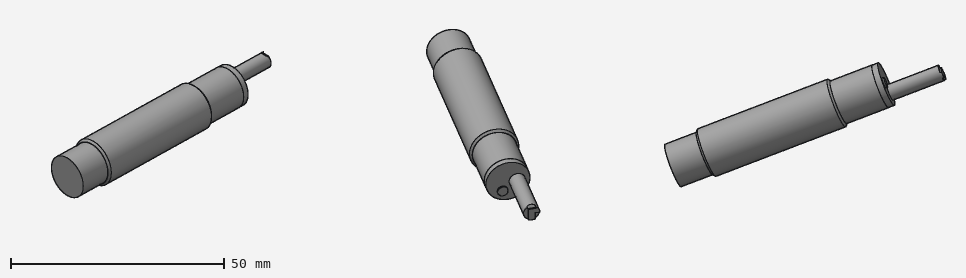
import cadquery as cq

length = 67.5
front_y = -length / 2
cable_end_y = length / 2

sleeve_diameter = 12.0
nose_diameter = 10.7
rear_diameter = 10.8
cap_diameter = 10.7
nose_length = 8.0
sleeve_length = 33.95
rear_length = 10.6
cap_thickness = 1.5
sleeve_chamfer = 0.55

cable_diameter = 3.9
cable_x = -2.2
cable_z = -0.2

lamp_diameter = 2.55
lamp_x = 1.35
lamp_z = -2.5
lamp_height = 0.4

step_offset = 0.8
step_depth = 0.4
notch_depth = 0.95
notch_height = 0.7
notch_left = -0.95
notch_right = 1.0


def rod(diameter, start_y, rod_length, x=0, z=0):
    """Cylinder running in +Y from start_y."""
    plane = cq.Plane(origin=(x, start_y, z), xDir=(1, 0, 0), normal=(0, 1, 0))
    return cq.Workplane(plane).circle(diameter / 2).extrude(rod_length)


def end_step(x, z, height):
    """Shallow block that lowers one side of the cable end."""
    block = cq.Workplane("XY").box(cable_diameter, step_depth, height, centered=(False, False, False))
    return block.translate((x, cable_end_y - step_depth, z))


def broken_end_cuts():
    """Lowered +X side, lowered lower -X side and a sloping notch at the top."""
    radius = cable_diameter / 2
    right_step = end_step(cable_x + step_offset, cable_z - radius, cable_diameter)
    left_step = end_step(cable_x - step_offset - cable_diameter, cable_z - radius, radius)
    top_z = cable_z + radius
    notch = (
        cq.Workplane("YZ", origin=(cable_x + notch_left, 0, 0))
        .moveTo(cable_end_y - notch_depth, top_z)
        .lineTo(cable_end_y - step_depth, top_z - notch_height)
        .lineTo(cable_end_y, top_z - notch_height)
        .lineTo(cable_end_y, top_z)
        .close()
        .extrude(notch_right - notch_left)
    )
    return right_step.union(left_step).union(notch)


sleeve_y = front_y + nose_length
rear_y = sleeve_y + sleeve_length
cap_y = rear_y + rear_length
cap_end_y = cap_y + cap_thickness

nose = rod(nose_diameter, front_y, nose_length)
sleeve = rod(sleeve_diameter, sleeve_y, sleeve_length).edges("%CIRCLE").chamfer(sleeve_chamfer)
rear = rod(rear_diameter, rear_y, rear_length)
cap = rod(cap_diameter, cap_y, cap_thickness)
cable = rod(cable_diameter, cap_end_y, cable_end_y - cap_end_y, cable_x, cable_z).cut(broken_end_cuts())
lamp = rod(lamp_diameter, cap_end_y, lamp_height, lamp_x, lamp_z)

result = nose.union(sleeve).union(rear).union(cap).union(cable).union(lamp)